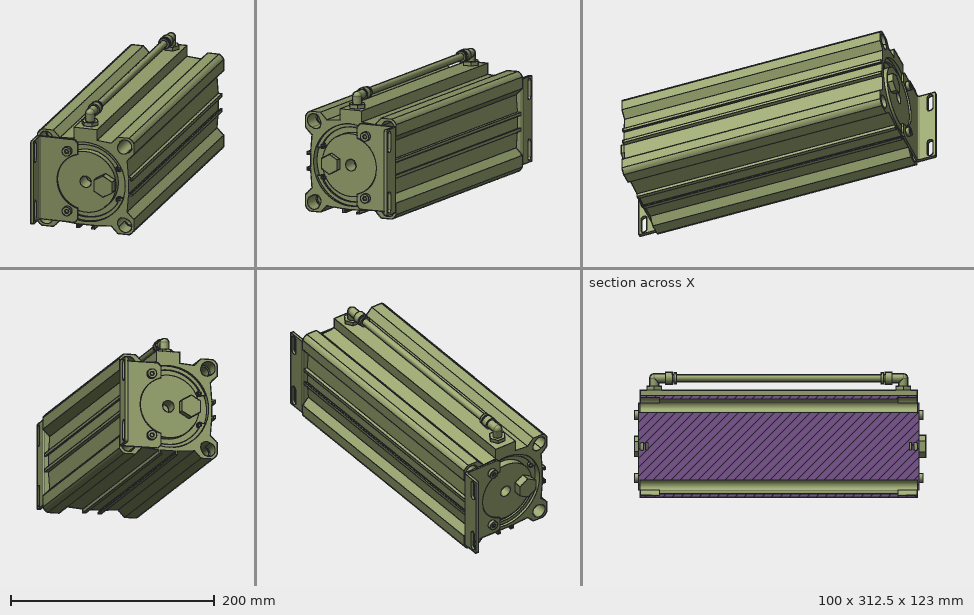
import cadquery as cq
import math

overall_length = 312.5
body_length = 272.0
body_end = body_length / 2
half_width = 50.0

side_half = 44.5
side_edge = 42.97
flat_half = 9.5
side_edge_half = 26.5
lobe_start = 33.5
lobe_flat_end = 45.0
corner_center = 41.0
lobe_radius = math.hypot(half_width - corner_center, lobe_flat_end - corner_center)

corner_bore_dia = 13.8
corner_bore_depth = 18.8
corner_slot_width = 12.0
corner_slot_length = 14.0
corner_slot_center = 39.7

rail_width = 23.8
rail_top = 55.3
hook_reach = 48.0
hook_lip = 3.0
hook_thickness = 1.5

recess_dia = 82.2
cap_dia = 62.8
recess_depth = 7.5
ring_inner_dia = 75.0
ring_depth = 3.0
ring_thickness = 2.5
ring_gap_half = 14.0
ear_x = 33.0
ear_z = 16.0
ear_dia = 5.5
ear_hole_dia = 3.0
port_dia = 11.5
port_depth = 18.8

plug_x = 21.0
front_plug_flats = 19.0
front_plug_height = 8.5
back_plug_flats = 17.5
back_plug_height = 5.5

bracket_half_height = 42.8
plate_thickness = 2.0
flange_thickness = 2.8
outer_bend_radius = 1.5
inner_bend_radius = 1.0
plate_edge_x = -7.8
plate_chamfer = 3.0
plate_cutout_dia = 58.0
flange_corner = 1.2
slot_width = 6.0
slot_length = 21.2
slot_z = 30.3
slot_inset = 5.5

screw_x = -17.97
screw_z = 31.0
screw_dia = 9.0
screw_head_height = 3.8
screw_socket_flats = 3.8
screw_socket_depth = 2.0

tube_z = 67.0
tube_dia = 7.2
elbow_y = 122.2
elbow_dia = 9.0
elbow_length = 11.0
nut_dia = 12.0
nut_length = 7.0
collar_dia = 11.0
collar_length = 2.5
collar_gap = 1.5
fitting_hex_flats = 14.5
fitting_hex_height = 3.8


def hex_across_corners(flats):
    return flats / math.cos(math.pi / 6)


def plane_y(y):
    """Plane facing -Y at the given Y, with local x = X and local y = Z."""
    return cq.Workplane("XZ", origin=(0, y, 0))


def cylinder_y(dia, y_start, y_end, x=0, z=0):
    return plane_y(y_end).center(x, z).circle(dia / 2).extrude(y_end - y_start)


def mirror_y(shape):
    return shape.mirror("XZ")


def quarter_turn(point, turns):
    """Turn a profile point clockwise about the body axis by quarter turns."""
    x, z = point
    for _ in range(turns):
        x, z = z, -x
    return x, z


def make_body():
    """Four equal sides joined by rounded corner lobes, extruded along Y."""
    side = [
        (-flat_half, side_half),
        (flat_half, side_half),
        (side_edge_half, side_edge),
        (lobe_start, half_width),
        (lobe_flat_end, half_width),
    ]
    arc_middle = corner_center + lobe_radius / math.sqrt(2)
    outline = plane_y(body_end).moveTo(-side_edge_half, side_edge)
    for turns in range(4):
        for point in side:
            outline = outline.lineTo(*quarter_turn(point, turns))
        outline = outline.threePointArc(
            quarter_turn((arc_middle, arc_middle), turns),
            quarter_turn((half_width, lobe_flat_end), turns),
        )
        outline = outline.lineTo(*quarter_turn((half_width, lobe_start), turns))
        outline = outline.lineTo(*quarter_turn((side_edge, side_edge_half), turns))
    return outline.close().extrude(body_length)


def make_rail():
    return cq.Workplane("XY").box(rail_width, body_length, rail_top, centered=(True, True, False))


def make_hooks():
    """Pairs of inward-turned hooks along the +X, -Z and -X sides."""
    inner = flat_half - hook_thickness
    hook = [
        (flat_half, side_edge),
        (flat_half, hook_reach),
        (flat_half - hook_lip, hook_reach),
        (flat_half - hook_lip, hook_reach - hook_thickness),
        (inner, hook_reach - hook_thickness),
        (inner, side_edge),
    ]
    right_hook = plane_y(body_end).polyline(hook).close().extrude(body_length)
    pair = right_hook.union(right_hook.mirror("YZ"))
    turned = [pair.rotate((0, 0, 0), (0, 1, 0), angle) for angle in (90, 180, 270)]
    return turned[0].union(turned[1]).union(turned[2])


def make_corner_cuts():
    """Through slots stretched toward the body axis, with round bores at both ends."""
    signs = [(sx, sz) for sx in (-1, 1) for sz in (-1, 1)]
    bores = [(sx * corner_center, sz * corner_center) for sx, sz in signs]
    cuts = cq.Workplane("XZ")
    for sx, sz in signs:
        slot = plane_y(body_end).center(sx * corner_slot_center, sz * corner_slot_center)
        slot = slot.slot2D(corner_slot_length, corner_slot_width, sx * sz * 45)
        cuts = cuts.union(slot.extrude(body_length))
    front = (
        plane_y(corner_bore_depth - body_end)
        .pushPoints(bores)
        .circle(corner_bore_dia / 2)
        .extrude(corner_bore_depth)
    )
    return cuts.union(front).union(mirror_y(front))


def make_end_recess():
    """Annular recess around the cap and the blind port in its middle (-Y end)."""
    floor_y = recess_depth - body_end
    recess = cylinder_y(recess_dia, -body_end, floor_y).cut(cylinder_y(cap_dia, -body_end, floor_y))
    return recess.union(cylinder_y(port_dia, -body_end, port_depth - body_end))


def make_retaining_ring():
    """Open ring with a drilled ear at each end of its gap (-Y end)."""
    front_y = ring_depth - body_end
    back_y = front_y + ring_thickness
    ring = cylinder_y(recess_dia, front_y, back_y).cut(cylinder_y(ring_inner_dia, front_y, back_y))
    gap = plane_y(back_y).center(recess_dia / 2, 0).rect(recess_dia, 2 * ring_gap_half)
    ring = ring.cut(gap.extrude(ring_thickness))
    for side in (-1, 1):
        ear_end = math.sqrt((recess_dia / 2) ** 2 - ear_z**2)
        ear = cylinder_y(ear_dia, front_y, back_y, ear_x, side * ear_z)
        bridge = (
            plane_y(back_y)
            .center((ear_x + ear_end) / 2, side * ear_z)
            .rect(ear_end - ear_x, 2 * (ear_z - ring_gap_half))
            .extrude(ring_thickness)
        )
        hole = cylinder_y(ear_hole_dia, front_y, back_y, ear_x, side * ear_z)
        ring = ring.union(ear).union(bridge).cut(hole)
    return ring


def make_plug(flats, height):
    return (
        plane_y(-body_end)
        .center(plug_x, 0)
        .polygon(6, hex_across_corners(flats))
        .extrude(height)
        .rotate((plug_x, 0, 0), (plug_x, 1, 0), 30)
    )


def make_bracket():
    """Bent sheet bracket with two slots, held by two socket screws (-Y end)."""
    height = 2 * bracket_half_height
    plate_face = -body_end - plate_thickness
    flange_end = -overall_length / 2
    plate = (
        cq.Workplane("XY", origin=(-half_width, -body_end, 0))
        .rect(plate_edge_x + half_width, -plate_thickness, centered=False)
        .extrude(bracket_half_height, both=True)
        .edges("|Y and >X")
        .chamfer(plate_chamfer)
    )
    plate = plate.cut(cylinder_y(plate_cutout_dia, plate_face, -body_end))
    flange_length = -body_end - flange_end
    flange = (
        cq.Workplane("XY")
        .box(flange_thickness, flange_length, height, centered=(False, False, True))
        .translate((-half_width, flange_end, 0))
        .edges("|X and <Y")
        .fillet(flange_corner)
    )
    slots = (
        cq.Workplane("YZ", origin=(-half_width, 0, 0))
        .pushPoints([(flange_end + slot_inset, side * slot_z) for side in (-1, 1)])
        .slot2D(slot_length, slot_width, 90)
        .extrude(flange_thickness)
    )
    bracket = plate.union(flange).cut(slots)
    inner_bend = cq.NearestToPointSelector((flange_thickness - half_width, plate_face, 0))
    bracket = bracket.edges(inner_bend).fillet(inner_bend_radius)
    outer_bend = cq.NearestToPointSelector((-half_width, -body_end, 0))
    bracket = bracket.edges(outer_bend).fillet(outer_bend_radius)
    screws = [(screw_x, side * screw_z) for side in (-1, 1)]
    heads = plane_y(plate_face).pushPoints(screws).circle(screw_dia / 2).extrude(screw_head_height)
    sockets = (
        plane_y(plate_face - screw_head_height)
        .pushPoints(screws)
        .polygon(6, hex_across_corners(screw_socket_flats))
        .extrude(-screw_socket_depth)
    )
    return bracket.union(heads).cut(sockets)


def make_elbow():
    """Hex base, mitred elbow, nut and collar of one tube fitting (-Y end)."""
    base = (
        cq.Workplane("XY", origin=(0, -elbow_y, rail_top))
        .polygon(6, hex_across_corners(fitting_hex_flats))
        .extrude(fitting_hex_height)
    )
    riser = (
        cq.Workplane("XY", origin=(0, -elbow_y, rail_top))
        .circle(elbow_dia / 2)
        .extrude(tube_z - rail_top)
    )
    knee = cq.Workplane("XY").sphere(elbow_dia / 2).translate((0, -elbow_y, tube_z))
    nut_start = elbow_length - elbow_y
    nut_end = nut_start + nut_length
    collar_start = nut_end + collar_gap
    arm = cylinder_y(elbow_dia, -elbow_y, nut_start, z=tube_z)
    nut = cylinder_y(nut_dia, nut_start, nut_end, z=tube_z)
    collar = cylinder_y(collar_dia, collar_start, collar_start + collar_length, z=tube_z)
    return base.union(riser).union(knee).union(arm).union(nut).union(collar)


result = make_body().union(make_rail()).union(make_hooks()).cut(make_corner_cuts())
end_recess = make_end_recess()
result = result.cut(end_recess).cut(mirror_y(end_recess))

for end_part in (make_retaining_ring(), make_bracket(), make_elbow()):
    result = result.union(end_part).union(mirror_y(end_part))

result = result.union(make_plug(front_plug_flats, front_plug_height))
result = result.union(mirror_y(make_plug(back_plug_flats, back_plug_height)))
result = result.union(cylinder_y(tube_dia, -elbow_y, elbow_y, z=tube_z))